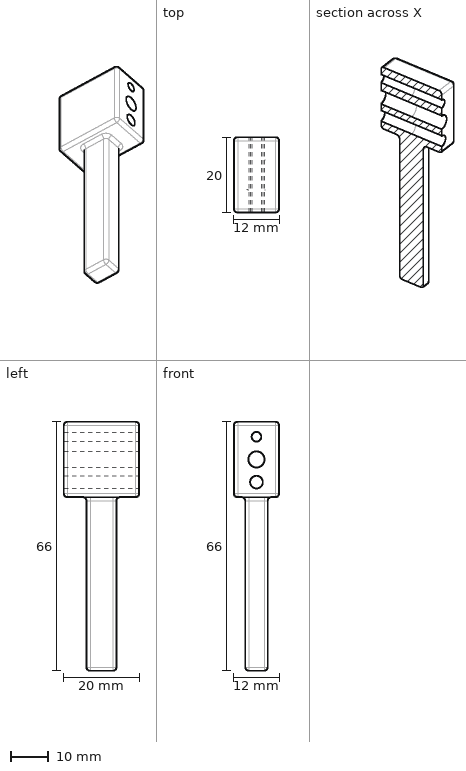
import cadquery as cq

total_height = 66.0
head_width = 12.0
head_depth = 20.0
head_height = 20.0
handle_width = 6.0
handle_depth = 8.0
edge_radius = 1.0

hole_spacing = 6.0
upper_hole_diameter = 2.5
middle_hole_diameter = 4.2
lower_hole_diameter = 3.3

head_bottom = total_height - head_height
head_centre = head_bottom + head_height / 2
handle_overlap = 3.3
selection_margin = 0.05


def make_head():
    """Rounded block, standing at the top of the part."""
    block = cq.Workplane("XY").workplane(offset=head_bottom).rect(head_width, head_depth).extrude(head_height)
    return block.edges().fillet(edge_radius)


def make_handle():
    """Rectangular bar with rounded long edges and a rounded lower end."""
    bar = cq.Workplane("XY").rect(handle_width, handle_depth).extrude(head_bottom + handle_overlap)
    return bar.edges("|Z or <Z").fillet(edge_radius)


def blend_handle(body):
    """Fillet the inside corner where the handle meets the underside of the head."""
    half_height = edge_radius / 2
    half_width = handle_width / 2 + selection_margin
    half_depth = handle_depth / 2 + selection_margin
    handle_outline = cq.selectors.BoxSelector(
        (-half_width, -half_depth, head_bottom - half_height),
        (half_width, half_depth, head_bottom + half_height),
    )
    return body.edges(handle_outline).fillet(edge_radius)


def make_hole(diameter, height):
    """Cutter for a hole running right through the head along Y."""
    return (
        cq.Workplane("XZ", origin=(0, 0, height))
        .circle(diameter / 2)
        .extrude(head_depth, both=True)
    )


result = blend_handle(make_head().union(make_handle()))

for diameter, offset in (
    (upper_hole_diameter, hole_spacing),
    (middle_hole_diameter, 0),
    (lower_hole_diameter, -hole_spacing),
):
    result = result.cut(make_hole(diameter, head_centre + offset))